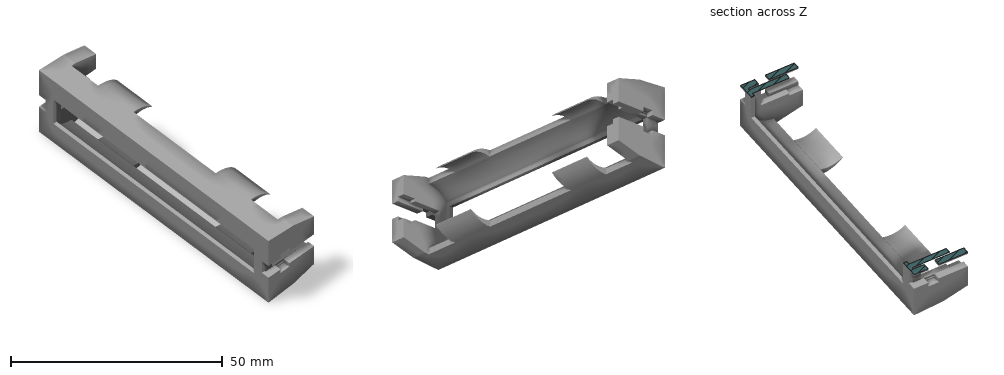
import cadquery as cq

length = 78.0
half_length = length / 2
depth = 15.0
half_height = 21.0 / 2

rail_depth = 6.9
rail_back_half_height = 10.0
shoulder_y = 8.1
shoulder_half_height = 9.9
back_half_height = 8.1

end_wall = 4.0
face_thickness = 1.0
window_length = 68.0
window_height = 8.2

bore_radius = 8.4
bore_y = 7.5

clip_width = 12.0
clip_offset = 20.0
clip_tip_y = 13.0
clip_outer_radius = 8.7
clip_inner_radius = 7.1
clip_inner_y = 9.0
clip_axis_z = 1.5

notch_height = 4.0
notch_depth = 2.3
skin = 1.95
groove_end = 2.35
groove_height = 5.9
plate_window_y = 3.35
plate_window_height = 4.9
plate_relief_y = 11.3
plate_relief_height = 6.25
pocket_front_y = 4.0
pocket_back_y = 6.9
pocket_height = 6.4


def box_between(x_range, y_range, height):
    """Box between the given X and Y limits, centred in Z."""
    (x0, x1), (y0, y1) = x_range, y_range
    return cq.Workplane("XY").box(x1 - x0, y1 - y0, height).translate(
        ((x0 + x1) / 2, (y0 + y1) / 2, 0)
    )


def x_cylinder(radius, axis_y, axis_z, width):
    """Cylinder along X, centred on X = 0."""
    return (
        cq.Workplane("YZ")
        .center(axis_y, axis_z)
        .circle(radius)
        .extrude(width / 2, both=True)
    )


def make_body():
    """Tapered block, reduced to two rails between the end walls."""
    profile = [
        (0, half_height),
        (rail_depth, rail_back_half_height),
        (shoulder_y, shoulder_half_height),
        (depth, back_half_height),
        (depth, -back_half_height),
        (shoulder_y, -shoulder_half_height),
        (rail_depth, -rail_back_half_height),
        (0, -half_height),
    ]
    block = cq.Workplane("YZ").polyline(profile).close().extrude(half_length, both=True)

    inner_half = half_length - end_wall
    inner_x = (-inner_half, inner_half)
    behind_rails = box_between(inner_x, (rail_depth, depth), 2 * half_height)
    behind_face = box_between(inner_x, (face_thickness, depth), 2 * half_height)
    bore = x_cylinder(bore_radius, bore_y, 0, 2 * inner_half).intersect(behind_face)
    window = box_between(
        (-window_length / 2, window_length / 2), (0, depth / 2), window_height
    )
    return block.cut(behind_rails).cut(bore).cut(window)


def make_clip():
    """Upper clip at X = 0: a curved tongue that thins towards its tip."""
    outer_axis_z = rail_back_half_height - clip_outer_radius
    tongue = x_cylinder(clip_outer_radius, rail_depth, outer_axis_z, clip_width)
    tongue = tongue.cut(x_cylinder(clip_inner_radius, clip_inner_y, clip_axis_z, clip_width))
    limits = (
        cq.Workplane("XY")
        .box(clip_width, clip_tip_y - rail_depth, half_height, centered=(True, False, False))
        .translate((0, rail_depth, clip_axis_z))
    )
    return tongue.intersect(limits)


def make_contact_seat():
    """Space removed from the end wall at -X."""
    def from_end(inset):
        return -half_length + inset

    outside = from_end(0)
    notch = box_between((outside, from_end(notch_depth)), (0, plate_window_y), notch_height)
    skin_slot = box_between((outside, from_end(skin)), (0, depth), notch_height)
    groove = box_between((from_end(skin), from_end(groove_end)), (face_thickness, depth), groove_height)
    plate_x = (from_end(skin), from_end(end_wall))
    plate_window = box_between(plate_x, (plate_window_y, depth), plate_window_height)
    plate_relief = box_between(plate_x, (plate_relief_y, depth), plate_relief_height)
    pocket = box_between((outside, from_end(skin)), (pocket_front_y, pocket_back_y), pocket_height)
    return notch.union(skin_slot).union(groove).union(plate_window).union(plate_relief).union(pocket)


result = make_body()

upper_clip = make_clip()
lower_clip = upper_clip.mirror("XY")
for clip_x in (-clip_offset, clip_offset):
    for clip in (upper_clip, lower_clip):
        result = result.union(clip.translate((clip_x, 0, 0)))

contact_seat = make_contact_seat()
result = result.cut(contact_seat).cut(contact_seat.mirror("YZ"))